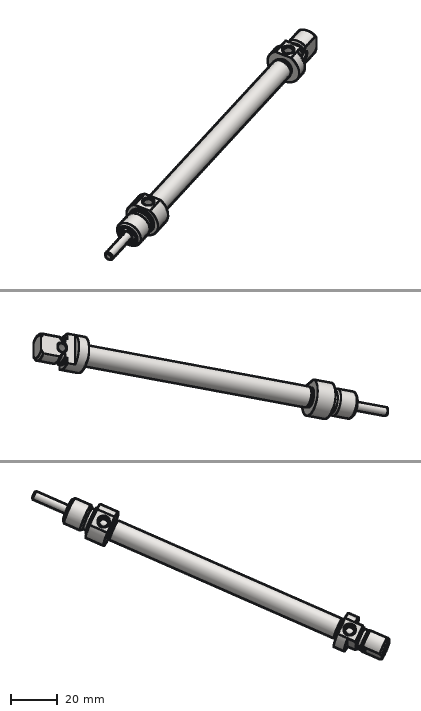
import cadquery as cq


overall_length = 166.0
nose_front_y = 16.1
front_head_front_y = 28.0
front_head_back_y = 36.5
rear_head_front_y = 145.1
flank_front_y = 149.9
rear_head_back_y = 153.5

rod_diameter = 4.0
rod_tip_chamfer = 0.5

head_diameter = 16.0
port_flat_height = 7.0
nose_diameter = 12.0
nose_chamfer = 1.0
groove_diameter = 10.0
groove_width = 1.7
groove_bevel = (nose_diameter - groove_diameter) / 2
collar_width = 0.8
port_diameter = 4.2
port_rim_diameter = 5.3
front_port_y = 33.0
rear_port_y = 149.0

recess_diameter = 8.1
recess_depth = 1.5
lip_base_diameter = 6.6
lip_tip_diameter = 4.6
lip_setback = 0.2

clevis_width = 8.0
clevis_hole_diameter = 4.0
clevis_rim_diameter = 4.6
clevis_hole_y = 156.0

barrel_diameter = 9.3
neck_diameter = 8.6
seat_diameter = 6.6
neck_length = 0.5
barrel_taper_length = 1.0
port_to_seat_end = 3.0
seat_front_y = front_port_y - port_to_seat_end
seat_back_y = rear_port_y + port_to_seat_end


def cylinder_y(diameter, start_y, end_y):
    """Cylinder on the Y axis between two stations."""
    plane = cq.Plane(origin=(0, start_y, 0), xDir=(1, 0, 0), normal=(0, 1, 0))
    return cq.Workplane(plane).circle(diameter / 2).extrude(end_y - start_y)


def make_nose(head_face_y, end_y):
    """Nose with a relief groove next to the head and a chamfered free end."""
    away = 1 if end_y > head_face_y else -1
    nose_radius = nose_diameter / 2
    groove_radius = groove_diameter / 2
    groove_start_y = head_face_y + away * collar_width
    groove_end_y = groove_start_y + away * groove_width
    thread_start_y = groove_end_y + away * groove_bevel
    return (
        cq.Workplane("XY")
        .moveTo(0, head_face_y)
        .lineTo(nose_radius, head_face_y)
        .lineTo(nose_radius, groove_start_y)
        .lineTo(groove_radius, groove_start_y)
        .lineTo(groove_radius, groove_end_y)
        .lineTo(nose_radius, thread_start_y)
        .lineTo(nose_radius, end_y - away * nose_chamfer)
        .lineTo(nose_radius - nose_chamfer, end_y)
        .lineTo(0, end_y)
        .close()
        .revolve(360, (0, 0, 0), (0, 1, 0))
    )


def make_head(start_y, end_y, port_y):
    """Round head with a flat on top and a countersunk port reaching down to the barrel seat."""
    head = cylinder_y(head_diameter, start_y, end_y)
    above_flat = cq.Workplane("XY").box(
        head_diameter, overall_length, head_diameter, centered=(True, False, False)
    ).translate((0, 0, port_flat_height))
    port_radius = port_diameter / 2
    rim_radius = port_rim_diameter / 2
    port = (
        cq.Workplane("XZ")
        .moveTo(0, 0)
        .lineTo(rim_radius, 0)
        .lineTo(port_radius, port_radius - rim_radius)
        .lineTo(port_radius, -port_flat_height)
        .lineTo(0, -port_flat_height)
        .close()
        .revolve(360, (0, 0, 0), (0, 1, 0))
        .translate((0, port_y, port_flat_height))
    )
    return head.cut(above_flat).cut(port)


def make_wiper_recess():
    """Ring cut into the front nose that leaves the wiper lip."""
    recess_floor_y = nose_front_y + recess_depth
    lip_tip_y = nose_front_y + lip_setback
    return (
        cq.Workplane("XY")
        .moveTo(0, nose_front_y)
        .lineTo(recess_diameter / 2, nose_front_y)
        .lineTo(recess_diameter / 2, recess_floor_y)
        .lineTo(lip_base_diameter / 2, recess_floor_y)
        .lineTo(lip_tip_diameter / 2, lip_tip_y)
        .lineTo(0, lip_tip_y)
        .close()
        .revolve(360, (0, 0, 0), (0, 1, 0))
    )


def make_front_cap():
    cap = make_head(front_head_front_y, front_head_back_y, front_port_y)
    cap = cap.union(make_nose(front_head_front_y, nose_front_y))
    seat_socket = cylinder_y(seat_diameter, seat_front_y, front_head_back_y)
    rod_bore = cylinder_y(rod_diameter, nose_front_y, seat_front_y)
    return cap.cut(make_wiper_recess()).cut(rod_bore).cut(seat_socket)


def make_rear_cap():
    cap = make_head(rear_head_front_y, rear_head_back_y, rear_port_y)
    cap = cap.union(make_nose(rear_head_back_y, overall_length))
    for side in (-1, 1):
        beside_clevis = cq.Workplane("XY").box(
            head_diameter, overall_length, head_diameter, centered=(True, False, True)
        ).translate((side * (clevis_width + head_diameter) / 2, flank_front_y, 0))
        cap = cap.cut(beside_clevis)
    half_width = clevis_width / 2
    hole_radius = clevis_hole_diameter / 2
    rim_radius = clevis_rim_diameter / 2
    rim_depth = rim_radius - hole_radius
    pin_hole = (
        cq.Workplane("XY")
        .moveTo(-half_width, 0)
        .lineTo(-half_width, rim_radius)
        .lineTo(-half_width + rim_depth, hole_radius)
        .lineTo(half_width - rim_depth, hole_radius)
        .lineTo(half_width, rim_radius)
        .lineTo(half_width, 0)
        .close()
        .revolve(360, (0, 0, 0), (1, 0, 0))
        .translate((0, clevis_hole_y, 0))
    )
    seat_socket = cylinder_y(seat_diameter, rear_head_front_y, seat_back_y)
    return cap.cut(pin_hole).cut(seat_socket)


def make_barrel():
    """Solid barrel, tapered at both ends to a short neck, with a seat that enters each head."""
    barrel_radius = barrel_diameter / 2
    neck_radius = neck_diameter / 2
    seat_radius = seat_diameter / 2
    taper_front_y = front_head_back_y + neck_length
    taper_back_y = rear_head_front_y - neck_length
    return (
        cq.Workplane("XY")
        .moveTo(0, seat_front_y)
        .lineTo(seat_radius, seat_front_y)
        .lineTo(seat_radius, front_head_back_y)
        .lineTo(neck_radius, front_head_back_y)
        .lineTo(neck_radius, taper_front_y)
        .lineTo(barrel_radius, taper_front_y + barrel_taper_length)
        .lineTo(barrel_radius, taper_back_y - barrel_taper_length)
        .lineTo(neck_radius, taper_back_y)
        .lineTo(neck_radius, rear_head_front_y)
        .lineTo(seat_radius, rear_head_front_y)
        .lineTo(seat_radius, seat_back_y)
        .lineTo(0, seat_back_y)
        .close()
        .revolve(360, (0, 0, 0), (0, 1, 0))
    )


def make_rod():
    rod = cylinder_y(rod_diameter, 0, seat_front_y)
    return rod.faces("<Y").chamfer(rod_tip_chamfer)


front_cap = make_front_cap()
rear_cap = make_rear_cap()
barrel = make_barrel()
rod = make_rod()

result = cq.Compound.makeCompound([front_cap.val(), rear_cap.val(), barrel.val(), rod.val()])